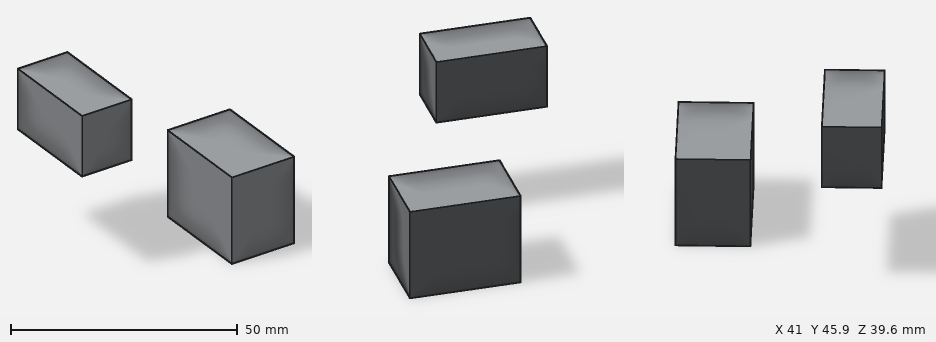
import cadquery as cq

total_length = 40.99
total_depth = 45.91
total_height = 39.58

block_length = 25.4

small_depth = 13.2
small_height = 15.4

large_depth = 16.57
large_height = 21.97


def make_block(length, depth, height, corner):
    """Plain block whose lowest X, Y and Z corner sits at the given point."""
    return cq.Workplane("XY").box(length, depth, height, centered=False).translate(corner)


small_block = make_block(
    block_length, small_depth, small_height,
    (0, 0, total_height - small_height),
)

large_block = make_block(
    block_length, large_depth, large_height,
    (total_length - block_length, total_depth - large_depth, 0),
)

result = cq.Compound.makeCompound([small_block.val(), large_block.val()])